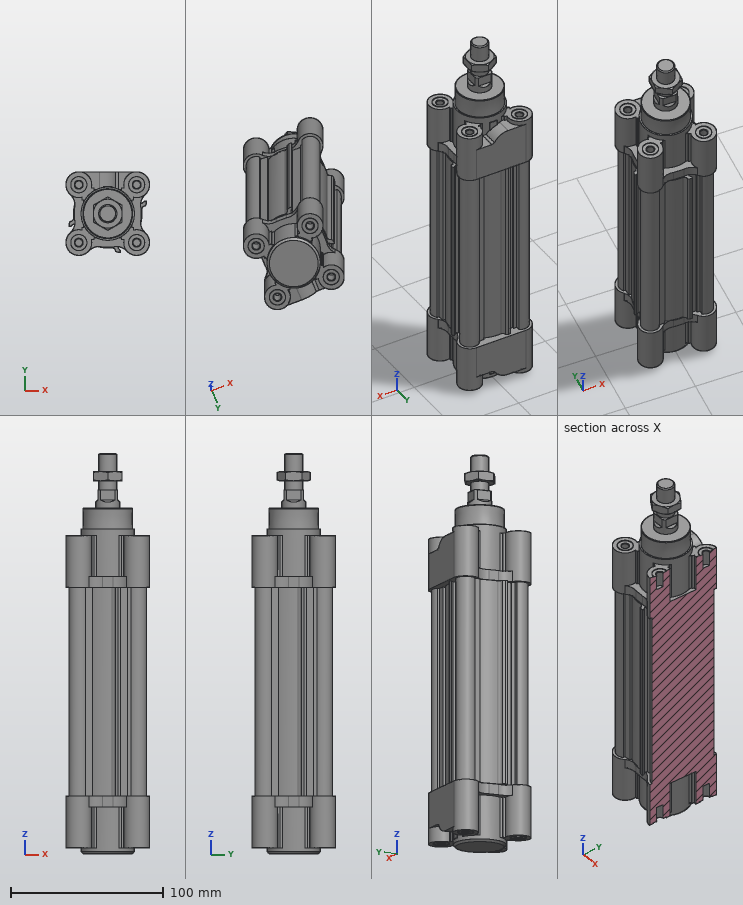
import cadquery as cq
import math

rear_collar_length = 4.0
barrel_assembly_length = 205.0
cap_length = 34.0
flange_thickness = 7.0
gland_base_length = 4.5
gland_length = 18.0
rod_shoulder_height = 30.0
rod_thread_length = 24.0

rear_face_z = rear_collar_length
front_face_z = rear_face_z + barrel_assembly_length
barrel_bottom_z = rear_face_z + cap_length
barrel_top_z = front_face_z - cap_length
gland_top_z = front_face_z + gland_length
shoulder_z = front_face_z + rod_shoulder_height
rod_end_z = shoulder_z + rod_thread_length

cap_size = 55.0
boss_radius = 8.5
boss_center = cap_size / 2 - boss_radius
collar_radius = 35.0 / 2
collar_chamfer = 1.5
web_half_width = 15.9
web_corner_inner = 9.1
web_corner_outer = 16.8
flange_flat_half = 3.6
flange_flat_y = 21.8
flange_flare_x = 12.3
flange_flare_y = 24.4
flange_flare_sag = 1.2

recess_diameter = 10.6
recess_depth = 0.5
socket_diameter = 4.92
socket_mouth_diameter = 5.8
socket_depth = 12.0
socket_mouth_depth = (socket_mouth_diameter - socket_diameter) / 2

port_drop = 3.2
port_curve_radius = 12.0
port_curve_start_x = -5.3
port_curve_end_x = 5.1
port_bevel_end_x = 7.1
port_bevel_drop = 0.8
port_key_width = 5.6
port_key_y = 17.9

gland_radius = 32.8 / 2
gland_waist_radius = 32.2 / 2
gland_chamfer = 0.5

barrel_radius = 22.6
barrel_corner_radius = 6.6
groove_floor = 20.3
left_ledge_start_x = -14.6
left_ledge_start_y = 22.5
left_ledge_end_x = -9.9
left_ledge_end_y = 22.1
right_shelf_start_x = 13.1
right_shelf_end_x = 15.4
shelf_y = 21.6
lip_root_x = 2.8
lip_left_x = 5.1
lip_bottom_x = 6.7
lip_tip_x = 8.3
lip_inner_x = 7.0
lip_fillet_mid_x = 4.4
lip_fillet_mid_y = 23.1
lip_shoulder_y = 24.8
lip_tip_y = 25.4
lip_tip_inner_y = 24.2

rod_radius = 16.0 / 2
thread_radius = 12.0 / 2
thread_chamfer = 0.8
wrench_flats = 13.0
wrench_flat_length = 6.5
flat_runout = rod_radius - wrench_flats / 2

nut_flats = 19.0
nut_thickness = 6.0
nut_bottom_z = shoulder_z + 6.0
nut_corner_radius = nut_flats / 2 / math.cos(math.radians(30))
nut_face_radius = nut_flats / 2
nut_corner_drop = 0.6

corner_signs = [(-1, -1), (1, -1), (1, 1), (-1, 1)]
boss_points = [(sx * boss_center, sy * boss_center) for sx, sy in corner_signs]


def cylinder(radius, z_bottom, z_top):
    return cq.Workplane("XY").workplane(offset=z_bottom).circle(radius).extrude(z_top - z_bottom)


def block(x_range, y_range, z_range):
    """Box between two limits on each axis."""
    lengths = [high - low for low, high in (x_range, y_range, z_range)]
    corner = (x_range[0], y_range[0], z_range[0])
    return cq.Workplane("XY").box(*lengths, centered=False).translate(corner)


def turned(point, quarter):
    """Rotate a plan point about the axis by a number of quarter turns."""
    x, y = point
    for _ in range(quarter):
        x, y = -y, x
    return (x, y)


def on_circle_y(radius, x):
    """Y on the -Y half of a circle about the axis."""
    return -math.sqrt(radius**2 - x**2)


def flange():
    """Plate at the barrel end of a cap, with a flared edge on all four sides."""
    mid_x = (flange_flat_half + flange_flare_x) / 2
    mid_y = (flange_flat_y + flange_flare_y) / 2 - flange_flare_sag
    outline = cq.Workplane("XY").moveTo(-flange_flare_x, -flange_flare_y)
    for quarter in range(4):
        outline = outline.threePointArc(
            turned((-mid_x, -mid_y), quarter), turned((-flange_flat_half, -flange_flat_y), quarter)
        )
        outline = outline.lineTo(*turned((flange_flat_half, -flange_flat_y), quarter))
        outline = outline.threePointArc(
            turned((mid_x, -mid_y), quarter), turned((flange_flare_x, -flange_flare_y), quarter)
        )
        if quarter < 3:
            outline = outline.lineTo(*turned((-flange_flare_x, -flange_flare_y), quarter + 1))
    return outline.close().extrude(flange_thickness)


def port_block():
    """Wall between the two +Y bosses; its top falls away in a convex curve."""
    ledge_z = cap_length - port_drop
    curve_center_z = ledge_z - port_curve_radius

    def curve_z(x):
        return curve_center_z + math.sqrt(port_curve_radius**2 - (x - port_curve_start_x) ** 2)

    curve_mid_x = (port_curve_start_x + port_curve_end_x) / 2
    curve_end_z = curve_z(port_curve_end_x)
    low_ledge_z = curve_end_z - port_bevel_drop
    wall = (
        cq.Workplane("XZ")
        .moveTo(-boss_center, 0)
        .lineTo(-boss_center, ledge_z)
        .lineTo(port_curve_start_x, ledge_z)
        .threePointArc((curve_mid_x, curve_z(curve_mid_x)), (port_curve_end_x, curve_end_z))
        .lineTo(port_bevel_end_x, low_ledge_z)
        .lineTo(boss_center, low_ledge_z)
        .lineTo(boss_center, 0)
        .close()
        .extrude(web_half_width - cap_size / 2)
        .translate((0, web_half_width, 0))
    )
    key = block((-port_key_width / 2, port_key_width / 2), (0, port_key_y), (0, cap_length))
    return wall.union(key)


def screw_recesses():
    """Counterbored, countersunk sockets cut down from the outer face of a cap."""
    floor_z = cap_length - recess_depth
    cone_z = floor_z - socket_mouth_depth
    half_section = [
        (0, cap_length),
        (recess_diameter / 2, cap_length),
        (recess_diameter / 2, floor_z),
        (socket_mouth_diameter / 2, floor_z),
        (socket_diameter / 2, cone_z),
        (socket_diameter / 2, cap_length - socket_depth),
        (0, cap_length - socket_depth),
    ]
    tool = cq.Workplane("XZ").polyline(half_section).close().revolve(360, (0, 0, 0), (0, 1, 0))
    return [tool.translate((x, y, 0)) for x, y in boss_points]


def end_cap():
    """Cap standing on its flange at Z = 0, outer face at Z = cap_length."""
    cap = flange().union(cylinder(collar_radius, 0, cap_length))
    cap = cap.union(cq.Workplane("XY").rect(2 * web_half_width, 2 * web_half_width).extrude(cap_length))
    web_corner_size = web_corner_outer - web_corner_inner
    web_corner_mid = (web_corner_outer + web_corner_inner) / 2
    web_corner_points = [(sx * web_corner_mid, sy * web_corner_mid) for sx, sy in corner_signs]
    web_corners = cq.Workplane("XY").pushPoints(web_corner_points)
    cap = cap.union(web_corners.rect(web_corner_size, web_corner_size).extrude(cap_length))
    cap = cap.union(cq.Workplane("XY").pushPoints(boss_points).circle(boss_radius).extrude(cap_length))
    cap = cap.union(port_block())
    for recess in screw_recesses():
        cap = cap.cut(recess)
    return cap


def barrel():
    """Extruded tube profile with a hooked sensor groove on each side."""
    def corner_y(x):
        return -boss_center - math.sqrt(barrel_corner_radius**2 - (abs(x) - boss_center) ** 2)

    corner_diagonal = boss_center + barrel_corner_radius / math.sqrt(2)
    side_start = (left_ledge_start_x, corner_y(left_ledge_start_x))
    left_ledge = [
        (left_ledge_start_x, -left_ledge_start_y),
        (left_ledge_end_x, -left_ledge_end_y),
        (left_ledge_end_x, on_circle_y(barrel_radius, left_ledge_end_x)),
    ]
    lip_and_groove = [
        (lip_bottom_x, -lip_tip_y),
        (lip_tip_x, -lip_tip_y),
        (lip_tip_x, -lip_tip_inner_y),
        (lip_inner_x, -barrel_radius),
        (lip_inner_x, -groove_floor),
        (right_shelf_start_x, -groove_floor),
        (right_shelf_start_x, -shelf_y),
        (right_shelf_end_x, -shelf_y),
        (right_shelf_end_x, corner_y(right_shelf_end_x)),
    ]
    outline = cq.Workplane("XY").workplane(offset=barrel_bottom_z).moveTo(*side_start)
    for quarter in range(4):
        for point in left_ledge:
            outline = outline.lineTo(*turned(point, quarter))
        outline = outline.threePointArc(
            turned((0, -barrel_radius), quarter),
            turned((lip_root_x, on_circle_y(barrel_radius, lip_root_x)), quarter),
        )
        outline = outline.threePointArc(
            turned((lip_fillet_mid_x, -lip_fillet_mid_y), quarter),
            turned((lip_left_x, -lip_shoulder_y), quarter),
        )
        for point in lip_and_groove:
            outline = outline.lineTo(*turned(point, quarter))
        outline = outline.threePointArc(
            turned((corner_diagonal, -corner_diagonal), quarter), turned(side_start, quarter + 1)
        )
    return outline.close().extrude(barrel_top_z - barrel_bottom_z)


def gland():
    """Front collar and the slightly waisted gland on top of it."""
    base_top_z = front_face_z + gland_base_length
    chamfer_z = gland_top_z - gland_chamfer
    waist = (
        cq.Workplane("XZ")
        .moveTo(0, base_top_z)
        .lineTo(gland_radius, base_top_z)
        .threePointArc((gland_waist_radius, (base_top_z + chamfer_z) / 2), (gland_radius, chamfer_z))
        .lineTo(gland_radius - gland_chamfer, gland_top_z)
        .lineTo(0, gland_top_z)
        .close()
        .revolve(360, (0, 0, 0), (0, 1, 0))
    )
    return cylinder(collar_radius, front_face_z, base_top_z).union(waist)


def make_housing():
    """Barrel with both caps, the gland and the rear collar, bored for the rod."""
    front_cap = end_cap().translate((0, 0, barrel_top_z))
    rear_cap = end_cap().mirror("XY").translate((0, 0, barrel_bottom_z))
    rear_collar = cylinder(collar_radius, 0, rear_face_z).faces("<Z").chamfer(collar_chamfer)
    housing = barrel().union(front_cap).union(rear_cap).union(rear_collar).union(gland())
    return housing.cut(cylinder(rod_radius, barrel_top_z, gland_top_z))


def make_rod():
    """Rod with four wrench flats that run out at 45 degrees, and a plain thread end."""
    flats_bottom_z = shoulder_z - wrench_flat_length
    runout_z = flats_bottom_z - flat_runout
    shank = cylinder(rod_radius, barrel_top_z, runout_z)
    square = cq.Workplane("XY").workplane(offset=flats_bottom_z).rect(wrench_flats, wrench_flats)
    flats = square.extrude(wrench_flat_length)
    runout = (
        cq.Workplane("XY")
        .workplane(offset=runout_z)
        .rect(2 * rod_radius, 2 * rod_radius)
        .workplane(offset=flat_runout)
        .rect(wrench_flats, wrench_flats)
        .loft(ruled=True)
    )
    wrench_end = runout.union(flats).intersect(cylinder(rod_radius, runout_z, shoulder_z))
    thread = cylinder(thread_radius, shoulder_z, rod_end_z).faces(">Z").chamfer(thread_chamfer)
    return shank.union(wrench_end).union(thread)


def make_nut():
    """Hexagon lock nut, corners along Y, with bevelled corners on both faces."""
    hexagon = (
        cq.Workplane("XY")
        .polygon(6, 2 * nut_corner_radius)
        .extrude(nut_thickness)
        .rotate((0, 0, 0), (0, 0, 1), 30)
    )
    bevel_section = [
        (0, 0),
        (nut_face_radius, 0),
        (nut_corner_radius, nut_corner_drop),
        (nut_corner_radius, nut_thickness - nut_corner_drop),
        (nut_face_radius, nut_thickness),
        (0, nut_thickness),
    ]
    bevel = cq.Workplane("XZ").polyline(bevel_section).close().revolve(360, (0, 0, 0), (0, 1, 0))
    nut = hexagon.intersect(bevel).cut(cylinder(thread_radius, 0, nut_thickness))
    return nut.translate((0, 0, nut_bottom_z))


housing = make_housing()
rod = make_rod()
nut = make_nut()

result = cq.Compound.makeCompound([housing.val(), rod.val(), nut.val()])